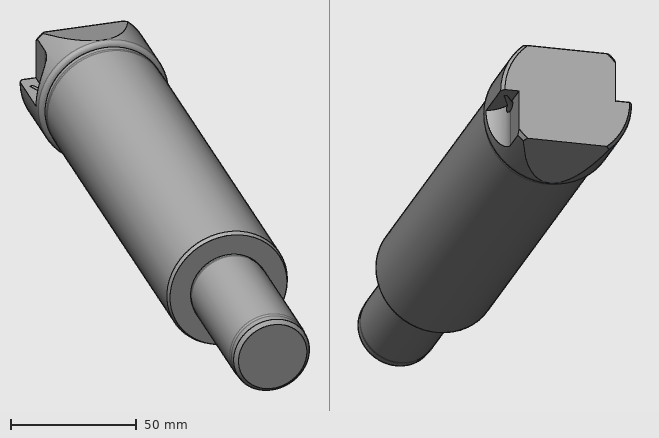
import cadquery as cq
import math

length = 258.5
head_diameter = 54.0
neck_diameter = 49.9
shaft_diameter = 50.0
tail_diameter = 32.0
tail_relief_diameter = 31.5

head_land_end = 27.0
head_end = 29.2
neck_end = 31.3
shaft_start = 32.8
shoulder = 198.0
tail_relief_end = 199.0
tail_start = 200.0
tail_end = 252.5
pilot_start = 253.7

head_chamfer_length = 1.8
head_chamfer_depth = 1.3
shaft_chamfer_length = 1.8
shaft_chamfer_depth = 0.8
tail_chamfer = 1.5

flat_half_height = 20.0
flat_angle = 15.0
flat_runout = 26.5

pocket_wall = 20.0
pocket_straight = 12.7
pocket_end_radius = 12.1

coolant_diameter = 4.0
coolant_entry_x = 13.7
coolant_entry_z = 1.5
coolant_angle = 27.0
coolant_rise = 2.0
coolant_depth = 15.5
coolant_reach = 8.3

head_radius = head_diameter / 2
shaft_radius = shaft_diameter / 2


def turned_body():
    """Head, neck, shaft and tail revolved about X."""
    neck_radius = neck_diameter / 2
    tail_radius = tail_diameter / 2
    relief_radius = tail_relief_diameter / 2
    rear_profile = [
        (neck_end, neck_radius),
        (shaft_start, shaft_radius),
        (shoulder - shaft_chamfer_length, shaft_radius),
        (shoulder, shaft_radius - shaft_chamfer_depth),
        (shoulder, relief_radius),
        (tail_relief_end, relief_radius),
        (tail_start, tail_radius),
        (tail_end, tail_radius),
        (pilot_start, relief_radius),
        (length - tail_chamfer, relief_radius),
        (length, relief_radius - tail_chamfer),
        (length, 0),
    ]
    edge_width = head_end - head_land_end
    edge_drop = head_radius - neck_radius
    edge_radius = (edge_width**2 + edge_drop**2) / (2 * edge_drop)
    return (
        cq.Workplane("XY")
        .moveTo(0, 0)
        .lineTo(0, head_radius - head_chamfer_depth)
        .lineTo(head_chamfer_length, head_radius)
        .lineTo(head_land_end, head_radius)
        .radiusArc((head_end, neck_radius), edge_radius)
        .polyline(rear_profile, includeCurrent=True)
        .close()
        .revolve(360, (0, 0, 0), (1, 0, 0))
    )


def flat_cutter():
    """Wedge above the upper sloping flat, across the full head width."""
    outer_z = flat_half_height + flat_runout * math.tan(math.radians(flat_angle))
    outline = [
        (0, flat_half_height),
        (flat_runout, outer_z),
        (flat_runout, head_diameter),
        (0, head_diameter),
    ]
    return cq.Workplane("XZ").polyline(outline).close().extrude(head_radius, both=True)


def pocket_cutter():
    """Pocket on the -Y side above Z = 0, with a rounded inner end."""
    end_x = pocket_straight + pocket_end_radius
    outer_y = -pocket_wall - pocket_end_radius
    return (
        cq.Workplane("XY")
        .moveTo(0, -pocket_wall)
        .lineTo(pocket_straight, -pocket_wall)
        .radiusArc((end_x, outer_y), pocket_end_radius)
        .lineTo(0, outer_y)
        .close()
        .extrude(head_radius)
    )


def coolant_cutter():
    """Slanted blind hole that breaks out through the pocket wall."""
    plan = math.radians(coolant_angle)
    rise = math.radians(coolant_rise)
    outward = cq.Vector(
        -math.cos(plan) * math.cos(rise),
        -math.sin(plan) * math.cos(rise),
        math.sin(rise),
    )
    entry = cq.Vector(coolant_entry_x, -pocket_wall, coolant_entry_z)
    start = entry - outward * coolant_depth
    hole = cq.Solid.makeCylinder(coolant_diameter / 2, coolant_depth + coolant_reach, start, outward)
    return cq.Workplane(hole)


result = turned_body()
for turn in (0, 180):
    for cutter in (flat_cutter(), pocket_cutter(), coolant_cutter()):
        result = result.cut(cutter.rotate((0, 0, 0), (1, 0, 0), turn))